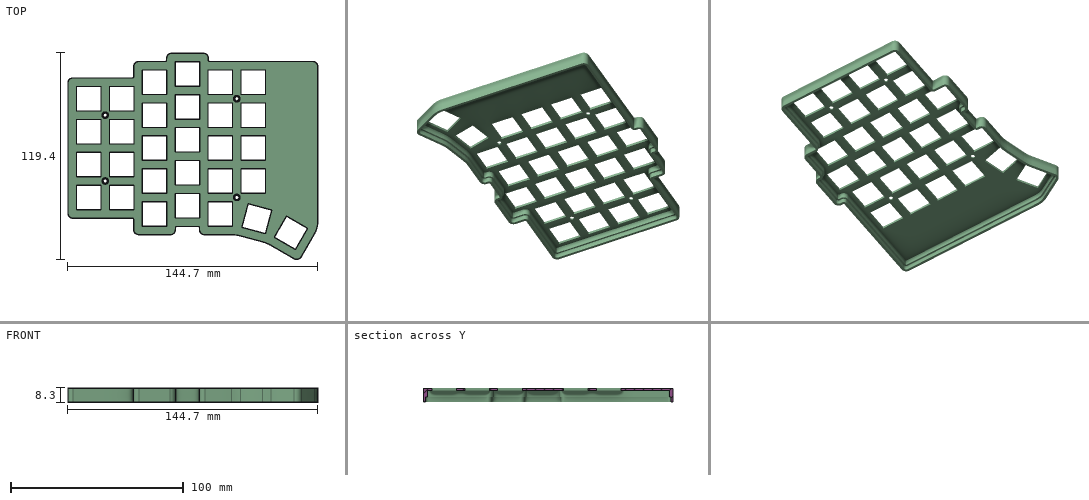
import cadquery as cq
import math

key_pitch = 19.03
switch_size = 14.02
rim_margin = 2.61
key_to_edge = key_pitch / 2 + rim_margin

overall_x = 144.65
case_height = 8.3
plate_thickness = 1.5
wall_thickness = 2.5

lid_ledge_width = 1.0
lid_recess_depth = 3.0

corner_radius = 3.1
inner_corner_radius = 0.6
thumb_bend_radius = 20.0
side_bend_radius = 14.0

screw_diameter = 2.4
screw_head_diameter = 3.8
countersink_angle = 90.0

middle_drop = key_pitch / 4
outer_drop = key_pitch * 3 / 4
columns = [
    (4, outer_drop),
    (4, outer_drop),
    (5, middle_drop),
    (5, 0.0),
    (5, middle_drop),
    (4, middle_drop),
]

thumb_keys = [
    (109.33, -95.79, -15.0),
    (129.08, -103.95, -30.0),
]

screw_places = [
    (0, outer_drop, 0),
    (0, outer_drop, 2),
    (4, middle_drop, 0),
    (4, middle_drop, 3),
]


def column_x(index):
    """Centre of a key column; the left edge of the case is at x = 0."""
    return key_to_edge + index * key_pitch


def key_y(drop, row):
    """Centre of a key row; the upper edge of the tallest column is at y = 0."""
    return -drop - key_to_edge - row * key_pitch


def column_bottom(index):
    """Lower edge of the case under a key column."""
    count, drop = columns[index]
    return key_y(drop, count - 1) - key_to_edge


def thumb_point(key, along, across):
    """Point at a local offset from the centre of a tilted thumb key."""
    x, y, tilt = key
    c = math.cos(math.radians(tilt))
    s = math.sin(math.radians(tilt))
    return (x + along * c - across * s, y + along * s + across * c)


def crossing(p, p_tilt, q, q_tilt):
    """Crossing of two lines, each given by a point and a direction in degrees."""
    px, py = math.cos(math.radians(p_tilt)), math.sin(math.radians(p_tilt))
    qx, qy = math.cos(math.radians(q_tilt)), math.sin(math.radians(q_tilt))
    t = ((q[0] - p[0]) * qy - (q[1] - p[1]) * qx) / (px * qy - py * qx)
    return (p[0] + t * px, p[1] + t * py)


def outline_corners():
    """Corners of the case outline, clockwise, each with its rounding radius."""
    outer_bottom = column_bottom(0)
    middle_bottom = column_bottom(2)
    tall_bottom = column_bottom(3)
    third_left = column_x(2) - key_to_edge
    third_right = column_x(2) + key_to_edge
    tall_left = column_x(3) - key_to_edge
    tall_right = column_x(3) + key_to_edge
    fifth_left = column_x(4) - key_to_edge

    first, second = thumb_keys
    first_edge = thumb_point(first, 0, -key_to_edge)
    second_corner = thumb_point(second, key_to_edge, -key_to_edge)
    first_tilt = first[2]
    second_tilt = second[2]
    bend_before_thumb = crossing((fifth_left, middle_bottom), 0, first_edge, first_tilt)
    bend_between_thumbs = crossing(first_edge, first_tilt, second_corner, second_tilt)
    side_bend = crossing(second_corner, second_tilt + 90, (overall_x, 0), 90)

    convex, concave = corner_radius, inner_corner_radius
    return [
        ((0, -outer_drop), convex),
        ((third_left, -outer_drop), concave),
        ((third_left, -middle_drop), convex),
        ((tall_left, -middle_drop), concave),
        ((tall_left, 0), convex),
        ((tall_right, 0), convex),
        ((tall_right, -middle_drop), concave),
        ((overall_x, -middle_drop), convex),
        (side_bend, side_bend_radius),
        (second_corner, convex),
        (bend_between_thumbs, thumb_bend_radius),
        (bend_before_thumb, thumb_bend_radius),
        ((fifth_left, middle_bottom), convex),
        ((fifth_left, tall_bottom), concave),
        ((third_right, tall_bottom), concave),
        ((third_right, middle_bottom), convex),
        ((third_left, middle_bottom), convex),
        ((third_left, outer_bottom), concave),
        ((0, outer_bottom), convex),
    ]


def rounded_outline(corners):
    """Closed outline of straight lines with an arc at every corner."""
    sketch = None
    for i, (corner, radius) in enumerate(corners):
        here = cq.Vector(*corner)
        back = (cq.Vector(*corners[i - 1][0]) - here).normalized()
        ahead = (cq.Vector(*corners[(i + 1) % len(corners)][0]) - here).normalized()
        half_angle = back.getAngle(ahead) / 2
        setback = radius / math.tan(half_angle)
        bisector = (back + ahead).normalized()
        start = here + back * setback
        middle = here + bisector * (radius / math.sin(half_angle) - radius)
        end = here + ahead * setback
        if sketch is None:
            sketch = cq.Workplane("XY").moveTo(start.x, start.y)
        else:
            sketch = sketch.lineTo(start.x, start.y)
        sketch = sketch.threePointArc((middle.x, middle.y), (end.x, end.y))
    return sketch.close()


def cavity(wall, depth):
    """Space inside a wall of the given thickness, open at the bottom of the case."""
    return rounded_outline(outline_corners()).offset2D(-wall).extrude(depth)


def make_case():
    body = rounded_outline(outline_corners()).extrude(case_height)
    inside = cavity(wall_thickness, case_height - plate_thickness)
    lid_recess = cavity(wall_thickness - lid_ledge_width, lid_recess_depth)
    return body.cut(inside).cut(lid_recess)


def switch_centres():
    """Centre and tilt of every key."""
    centres = []
    for index, (count, drop) in enumerate(columns):
        for row in range(count):
            centres.append((column_x(index), key_y(drop, row), 0.0))
    return centres + thumb_keys


def cut_switch_holes(part):
    for x, y, tilt in switch_centres():
        hole = cq.Workplane("XY").rect(switch_size, switch_size).extrude(case_height)
        part = part.cut(hole.rotate((0, 0, 0), (0, 0, 1), tilt).translate((x, y, 0)))
    return part


def screw_centres():
    centres = []
    for index, drop, row in screw_places:
        x = column_x(index) + key_pitch / 2
        y = key_y(drop, row) - key_pitch / 2
        centres.append((x, y))
    return centres


def cut_screw_holes(part):
    return (
        part.faces(">Z")
        .workplane(origin=(0, 0, case_height))
        .pushPoints(screw_centres())
        .cskHole(screw_diameter, screw_head_diameter, countersink_angle)
    )


result = cut_screw_holes(cut_switch_holes(make_case()))